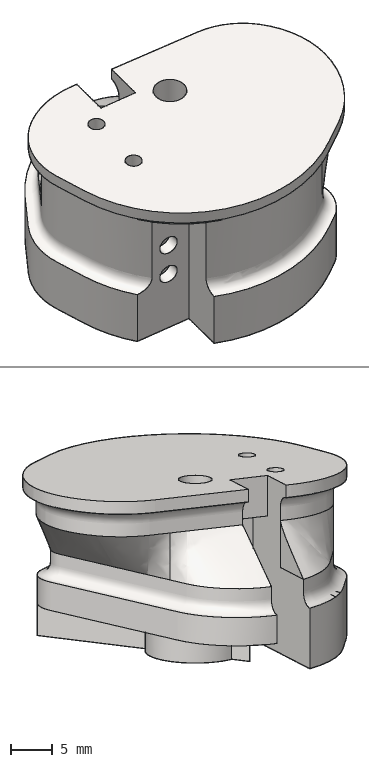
import cadquery as cq
import math


base_height = 7.48
step = 1.58
taper_height = 5.8
base_land_bottom = base_height + step
base_top = base_land_bottom + step
taper_top = base_top + taper_height
cove_bottom = taper_top + step
flange_bottom = cove_bottom + step
total_height = flange_bottom + step
cove_radius = step - 0.008

right_side = 20.95
big_radius = 18.57
big_center = (right_side - big_radius, -3.0)
corner_radius = 9.17
corner_center = (-4.85, -10.35)

lobe_radii = (14.32, 12.33, 9.92)
lobe_joints = (51.5, 96.5)
lobe_start_y = 0.9
shoulder_radius = 11.85
shoulder_joint = 180.0

crest_center = (-5.83, 0.55)
crest_radius = 10.22
side_radius = 17.18
side_joint = 156.0
back_radius = 5.25
back_center_y = -0.83

crest_landing_y = 6.2
joint_landing_y = -0.95
side_split = 0.6
lobe_landings = (0.2, 0.5)

slot_angle = -38.1
slot_end = (-5.35, -3.6)
slot_width = 4.95
slot_length = 22.55
deep_slot_extra = 4.0
deep_slot_top = 16.15
notch_distance = 17.55
notch_offset = -1.6
notch_size = 22.55
axle_diameter = 4.02
pin_diameter = 2.03
pin_offset = 4.55
pin_distances = (2.1, 10.07)
side_hole_diameter = 2.48
side_hole_depth = 1.6
side_hole_heights = (8.57, 13.15)

relief_height = 4.0
relief_y = 1.75
hub_radius = 6.0

relief_width = 90.2
relief_length = 45.1

same_point = 0.005


def polar(center, radius, angle):
    a = math.radians(angle)
    return (center[0] + radius * math.cos(a), center[1] + radius * math.sin(a))


def blend_center(center, radius, next_radius, joint):
    """Centre of an arc that continues another one smoothly at the joint angle."""
    return polar(center, radius - next_radius, joint)


def tangent_angle(center_a, radius_a, center_b, radius_b):
    """Angle at which the outer tangent line touches arc a and then arc b."""
    dx = center_b[0] - center_a[0]
    dy = center_b[1] - center_a[1]
    spread = math.acos((radius_a - radius_b) / math.hypot(dx, dy))
    return (math.degrees(math.atan2(dy, dx) - spread)) % 360


def between(a, b, fraction):
    return (a[0] + (b[0] - a[0]) * fraction, a[1] + (b[1] - a[1]) * fraction)


lobe_centers = [(right_side - lobe_radii[0], lobe_start_y)]
for number, joint in enumerate(lobe_joints):
    lobe_centers.append(blend_center(lobe_centers[number], lobe_radii[number], lobe_radii[number + 1], joint))
shoulder_center = blend_center(corner_center, corner_radius, shoulder_radius, shoulder_joint)
side_center = blend_center(crest_center, crest_radius, side_radius, side_joint)
back_center = (right_side - back_radius, back_center_y)

bottom_tangent = tangent_angle(corner_center, corner_radius, big_center, big_radius)
lobe_tangent = tangent_angle(lobe_centers[2], lobe_radii[2], shoulder_center, shoulder_radius)
back_tangent = tangent_angle(back_center, back_radius, crest_center, crest_radius)
side_tangent = tangent_angle(side_center, side_radius, corner_center, corner_radius)

lobe_arcs = [
    (lobe_centers[0], lobe_radii[0], 0, lobe_joints[0]),
    (lobe_centers[1], lobe_radii[1], lobe_joints[0], lobe_joints[1]),
    (lobe_centers[2], lobe_radii[2], lobe_joints[1], lobe_tangent),
]
shoulder_arc = (shoulder_center, shoulder_radius, lobe_tangent, shoulder_joint)
back_arc = (back_center, back_radius, 0, back_tangent)
crest_arc = (crest_center, crest_radius, back_tangent, side_joint)
side_arc = (side_center, side_radius, side_joint, side_tangent)
big_arc = (big_center, big_radius, bottom_tangent, 360)

upper_corner_arc = (corner_center, corner_radius, shoulder_joint, bottom_tangent)
lower_corner_arc = (corner_center, corner_radius, side_tangent, bottom_tangent)
upper_outline = lobe_arcs + [shoulder_arc, upper_corner_arc, big_arc]
lower_outline = [back_arc, crest_arc, side_arc, lower_corner_arc, big_arc]


def draw(path, height):
    """Closed wire through a start point followed by ("line", end) and ("arc", middle, end) moves."""
    plan = cq.Workplane("XY", origin=(0, 0, height)).moveTo(*path[0])
    for kind, *points in path[1:]:
        if kind == "arc":
            plan = plan.threePointArc(*points)
        else:
            plan = plan.lineTo(*points[0])
    return plan.close()


def arc_point(arc, inset, angle):
    """Point of an outline arc that is moved inward by the inset."""
    center, radius = arc[:2]
    return polar(center, radius - inset, angle)


def arc_move(arc, inset):
    start, end = arc[2:]
    return ("arc", arc_point(arc, inset, (start + end) / 2), arc_point(arc, inset, end))


def outline_path(outline, inset):
    """Start point and moves round an outline; arcs that do not meet are joined by lines."""
    position = arc_point(outline[0], inset, outline[0][2])
    path = [position]
    for arc in outline:
        start = arc_point(arc, inset, arc[2])
        if math.dist(position, start) > same_point:
            path.append(("line", start))
        path.append(arc_move(arc, inset))
        position = arc_point(arc, inset, arc[3])
    return path


def prism(outline, inset, bottom, top):
    return draw(outline_path(outline, inset), bottom).extrude(top - bottom)


slot_plane = cq.Plane(origin=(slot_end[0], slot_end[1], 0), xDir=polar((0, 0), 1, slot_angle) + (0,))


def slot_cutter():
    """Slot from the side, deeper below the upper part of its end wall."""
    slot = (
        cq.Workplane(slot_plane)
        .center(-slot_length / 2, 0)
        .rect(slot_length, slot_width)
        .extrude(total_height)
    )
    deep_end = (
        cq.Workplane(slot_plane)
        .center(deep_slot_extra / 2, 0)
        .rect(deep_slot_extra, slot_width)
        .extrude(deep_slot_top)
    )
    return slot.union(deep_end)


def notch_cutter():
    """Square-cornered notch that reaches up to the cove of the top flange."""
    return (
        cq.Workplane(slot_plane)
        .center(notch_distance + notch_size / 2, notch_offset - notch_size / 2)
        .rect(notch_size, notch_size)
        .extrude(cove_bottom)
    )


def hole_cutter():
    """Axle hole and the row of pin holes, all straight through."""
    axle_hole = cq.Workplane("XY").circle(axle_diameter / 2).extrude(total_height)
    pin_holes = (
        cq.Workplane(slot_plane)
        .pushPoints([(distance, -pin_offset) for distance in pin_distances])
        .circle(pin_diameter / 2)
        .extrude(total_height)
    )
    return axle_hole.union(pin_holes)


def side_hole_cutter():
    """Blind holes in the notch wall, in line with the row of pin holes."""
    wall_point = slot_plane.toWorldCoords((notch_distance, -pin_offset, 0))
    notch_wall = cq.Plane(origin=wall_point, xDir=-slot_plane.yDir, normal=-slot_plane.xDir)
    return (
        cq.Workplane(notch_wall)
        .pushPoints([(0, height) for height in side_hole_heights])
        .circle(side_hole_diameter / 2)
        .extrude(side_hole_depth)
    )


def relief_cutter():
    """Clears the bottom on the +Y side and leaves a round hub about the axle."""
    block = (
        cq.Workplane("XY")
        .center(0, relief_y + relief_length / 2)
        .rect(relief_width, relief_length)
        .extrude(relief_height)
    )
    hub = cq.Workplane("XY").circle(hub_radius).extrude(relief_height)
    return block.cut(hub)


def join_with_cove(flange, land, land_end):
    """Joins a track land to its flange and rounds the corner round the given end of the land."""
    joined = flange.union(land)
    corner_centers = [edge.Center() for edge in land.faces(land_end).edges().vals()]
    corner_edges = []
    for edge in joined.edges().vals():
        if any((edge.Center() - center).Length < same_point for center in corner_centers):
            corner_edges.append(edge)
    return cq.Workplane(joined.val().fillet(cove_radius, corner_edges))


def make_lower_track():
    flange = prism(lower_outline, 0, 0, base_height)
    land = prism(lower_outline, step, base_height, base_top)
    return join_with_cove(flange, land, "<Z").cut(relief_cutter())


def make_upper_track():
    flange = prism(upper_outline, 0, flange_bottom, total_height)
    land = prism(upper_outline, step, taper_top, flange_bottom)
    return join_with_cove(flange, land, ">Z")


def make_core():
    """Upright column where the two track outlines overlap."""
    upper = prism(upper_outline, step, base_top, taper_top)
    lower = prism(lower_outline, step, base_top, taper_top)
    return upper.intersect(lower)


def make_cam():
    cam = make_lower_track().union(make_core()).union(make_upper_track())
    for cutter in (slot_cutter(), notch_cutter(), hole_cutter(), side_hole_cutter()):
        cam = cam.cut(cutter)
    return cam


lobe_end = arc_point(lobe_arcs[-1], step, lobe_tangent)
flank_end = arc_point(shoulder_arc, step, lobe_tangent)
back_end = arc_point(back_arc, step, back_tangent)
crest_start = arc_point(crest_arc, step, back_tangent)


def flank_crossing():
    """Point where the straight flank of the upper track crosses that of the lower track."""
    upper_x, upper_y = flank_end[0] - lobe_end[0], flank_end[1] - lobe_end[1]
    lower_x, lower_y = crest_start[0] - back_end[0], crest_start[1] - back_end[1]
    gap_x, gap_y = back_end[0] - lobe_end[0], back_end[1] - lobe_end[1]
    fraction = (gap_x * lower_y - gap_y * lower_x) / (upper_x * lower_y - upper_y * lower_x)
    return between(lobe_end, flank_end, fraction)


def make_taper(bottom_path, top_path):
    """Straight-ruled wedge between the two tracks, outside the core."""
    bottom = draw(bottom_path, base_top).wire().val()
    top = draw(top_path, taper_top).wire().val()
    return cq.Workplane(cq.Solid.makeLoft([bottom, top], True)).cut(make_core())


def make_crest_tapers():
    """Wedges from the lower crest up to the flank of the upper track, one on each side of the slot."""
    start = flank_crossing()
    flank_rise = start[1] - flank_end[1]
    crest_landing = between(start, flank_end, (start[1] - crest_landing_y) / flank_rise)
    joint_landing = between(start, flank_end, (start[1] - joint_landing_y) / flank_rise)
    side_end = arc_point(side_arc, step, side_tangent)
    corner_start = arc_point(lower_corner_arc, step, side_tangent)
    bottom_path = [
        start,
        ("line", crest_start),
        arc_move(crest_arc, step),
        arc_move(side_arc, step),
        ("line", between(side_end, corner_start, side_split)),
        ("line", corner_start),
    ]
    top_path = [
        start,
        ("line", crest_landing),
        ("line", joint_landing),
        ("line", flank_end),
        arc_move(shoulder_arc, step),
        arc_move((corner_center, corner_radius, shoulder_joint, side_tangent), step),
    ]
    return make_taper(bottom_path, top_path).cut(slot_cutter()).solids()


def make_lobe_taper():
    """Wedge from the upper lobe down to the back of the lower track."""
    start = flank_crossing()
    right_end = arc_point(big_arc, step, 360)
    top_path = [start, ("line", lobe_end)]
    for center, radius, first, last in reversed(lobe_arcs):
        top_path.append(arc_move((center, radius, last, first), step))
    top_path.append(("line", right_end))

    bottom_path = [start]
    for landing in lobe_landings:
        bottom_path.append(("line", between(start, back_end, landing)))
    bottom_path.append(("line", back_end))
    bottom_path.append(arc_move((back_center, back_radius, back_tangent, 0), step))
    bottom_path.append(("line", right_end))
    return make_taper(bottom_path, top_path)


cam = make_cam()
crest_tapers = make_crest_tapers()
lobe_taper = make_lobe_taper()
result = cq.Compound.makeCompound([cam.val(), *crest_tapers.vals(), lobe_taper.val()])